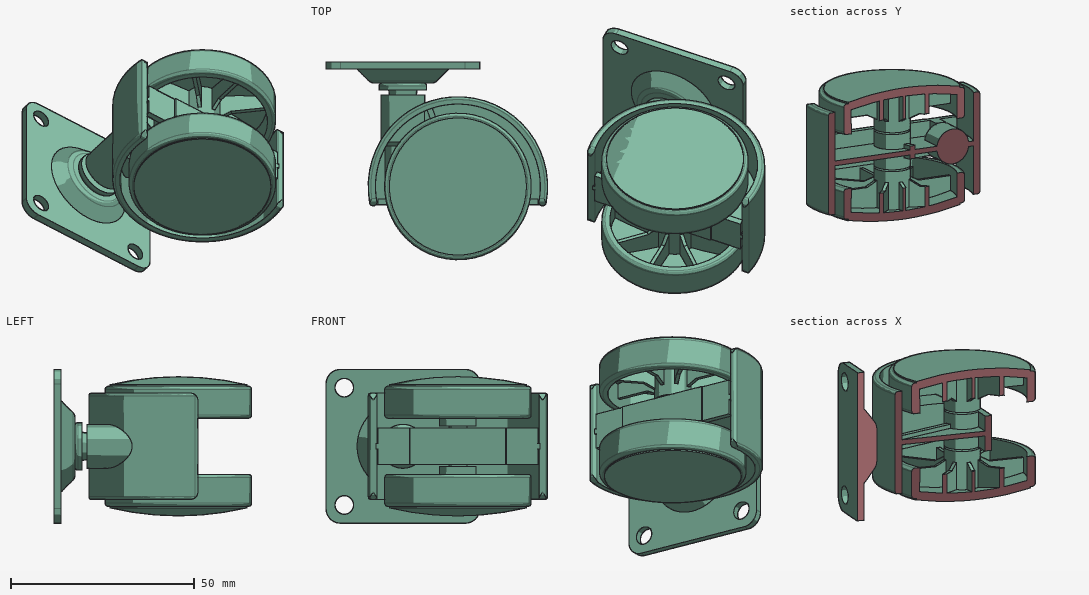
import cadquery as cq
import math


plate_size = 42.0
plate_thickness = 2.0
plate_corner_radius = 4.0
plate_top_y = 34.0
plate_bottom_y = plate_top_y - plate_thickness
screw_hole_diameter = 5.0
screw_hole_spacing = 32.0
cup_base_radius = 12.5
cup_depth = 3.8
cup_end_radius = cup_base_radius - cup_depth
cup_edge_radius = 2.0
cup_end_y = plate_bottom_y - cup_depth

stem_x = -15.0
collar_radius = 6.5
collar_height = 1.9
collar_round = 0.75
neck_radius = 3.9
shank_radius = 3.7
collar_bottom_y = cup_end_y - collar_height

shroud_radius = 24.5
shroud_thickness = 2.0
shroud_inner_radius = shroud_radius - shroud_thickness
shroud_width = 29.0
shroud_end_y = -5.3
shroud_corner_radius = 2.0
shroud_edge_radius = 0.75
socket_radius = 6.0
socket_top_y = 25.0
socket_step_y = 12.1
socket_step_height = 1.0
socket_lower_radius = 5.0
socket_end_y = 0.0
web_width = 10.0
membrane_thickness = 1.5
front_wall_y = -5.0
front_wall_thickness = 1.65
front_wall_half_length = 21.8
front_pad_half_length = 13.2
front_pad_height = 0.35
front_pad_slope = 0.2
axle_boss_radius = 5.0
rib_thickness = 1.5
rib_height = 3.8
rib_angle = 110.0
socket_rib_thickness = 3.0

wheel_radius = 20.0
wheel_edge_radius = 0.9
wheel_inner_z = 7.65
wheel_shoulder_z = 16.4
wheel_top_z = 19.0
dome_radius = 18.7
dome_base_z = 16.8
dome_height = wheel_top_z - dome_base_z
dome_sphere_radius = (dome_radius**2 + dome_height**2) / (2 * dome_height)
sphere_center_z = wheel_top_z - dome_sphere_radius
rim_inner_radius = 17.75
rim_middle_radius = (rim_inner_radius + wheel_radius) / 2
wheel_skin_thickness = 2.5
wheel_hub_radius = 5.0
wheel_hub_end_z = 5.5
spoke_count = 8
spoke_thickness = 1.0
spoke_drop = 2.6
spoke_ramp_length = 3.0
spoke_ramp_height = 1.6
axle_radius = 2.5
axle_end_z = 14.5


def cylinder_y(radius, y_low, y_high):
    """Cylinder on the stem axis between two heights."""
    return (
        cq.Workplane("XZ", origin=(stem_x, y_low, 0))
        .circle(radius)
        .extrude(y_low - y_high)
    )


def revolve_about_stem(profile):
    return profile.revolve(360, (stem_x, 0, 0), (stem_x, 1, 0))


def make_plate():
    plate = (
        cq.Workplane("XZ", origin=(stem_x, plate_top_y, 0))
        .rect(plate_size, plate_size)
        .extrude(plate_thickness)
        .edges("|Y")
        .fillet(plate_corner_radius)
    )
    cup = revolve_about_stem(
        cq.Workplane("XY")
        .moveTo(stem_x, plate_bottom_y)
        .lineTo(stem_x + cup_base_radius, plate_bottom_y)
        .lineTo(stem_x + cup_end_radius, cup_end_y)
        .lineTo(stem_x, cup_end_y)
        .close()
    )
    cup = cup.faces("<Y").edges().fillet(cup_edge_radius)
    holes = (
        cq.Workplane("XZ", origin=(stem_x, plate_top_y, 0))
        .rect(screw_hole_spacing, screw_hole_spacing, forConstruction=True)
        .vertices()
        .circle(screw_hole_diameter / 2)
        .extrude(plate_thickness)
    )
    return plate.union(cup).cut(holes)


def make_stem():
    collar = cylinder_y(collar_radius, collar_bottom_y, cup_end_y)
    collar = collar.faces(">Y").edges().fillet(collar_round)
    neck = revolve_about_stem(
        cq.Workplane("XY")
        .moveTo(stem_x, collar_bottom_y)
        .lineTo(stem_x + neck_radius, collar_bottom_y)
        .lineTo(stem_x + shank_radius, socket_top_y)
        .lineTo(stem_x, socket_top_y)
        .close()
    )
    shank = cylinder_y(shank_radius, socket_step_y, socket_top_y)
    return collar.union(neck).union(shank)


def polar_point(radius, angle):
    return (radius * math.cos(angle), radius * math.sin(angle))


def make_shroud():
    """Arched fender with full-round tips, eased outer rims and rounded corners."""
    tip_radius = shroud_thickness / 2
    middle_radius = shroud_radius - tip_radius
    tip_angle = math.asin((shroud_end_y + tip_radius) / middle_radius)
    tip_point_x = middle_radius * math.cos(tip_angle) + tip_radius * math.sin(tip_angle)
    tip_point_y = middle_radius * math.sin(tip_angle) - tip_radius * math.cos(tip_angle)
    outline = (
        cq.Workplane("XY", origin=(0, 0, -shroud_width / 2))
        .moveTo(*polar_point(shroud_radius, tip_angle))
        .threePointArc((0, shroud_radius), polar_point(shroud_radius, math.pi - tip_angle))
        .threePointArc(
            (-tip_point_x, tip_point_y), polar_point(shroud_inner_radius, math.pi - tip_angle)
        )
        .threePointArc((0, shroud_inner_radius), polar_point(shroud_inner_radius, tip_angle))
        .threePointArc((tip_point_x, tip_point_y), polar_point(shroud_radius, tip_angle))
        .close()
    )
    fender = outline.extrude(shroud_width)
    side_outline = (
        cq.Workplane("XY")
        .box(2 * shroud_radius, shroud_radius - shroud_end_y, shroud_width)
        .translate((0, (shroud_radius + shroud_end_y) / 2, 0))
        .edges("|X and <Y")
        .fillet(shroud_corner_radius)
    )
    eased_drum = (
        cq.Workplane("XY", origin=(0, 0, -shroud_width / 2))
        .circle(shroud_radius)
        .extrude(shroud_width)
        .edges()
        .fillet(shroud_edge_radius)
    )
    return fender.intersect(side_outline).intersect(eased_drum)


def block_between(x_low, x_high, y_low, y_high, height):
    """Rectangular block centred on the wheel mid-plane."""
    return (
        cq.Workplane("XY")
        .box(x_high - x_low, y_high - y_low, height)
        .translate(((x_low + x_high) / 2, (y_low + y_high) / 2, 0))
    )


def cylinder_z(radius, z_low, z_high):
    return cq.Workplane("XY", origin=(0, 0, z_low)).circle(radius).extrude(z_high - z_low)


def make_web():
    """Thin membrane inside the shroud, stiffened by a front wall, ribs and an axle boss."""
    wall_back_y = front_wall_y + front_wall_thickness
    membrane_radius = (shroud_radius + shroud_inner_radius) / 2
    membrane = cylinder_z(membrane_radius, -membrane_thickness / 2, membrane_thickness / 2)
    membrane = membrane.intersect(
        block_between(-shroud_radius, shroud_radius, front_wall_y, shroud_radius, web_width)
    )
    front_wall = block_between(
        -front_wall_half_length, front_wall_half_length, front_wall_y, wall_back_y, web_width
    )
    pad_end = front_pad_half_length - front_pad_slope
    pad_y = front_wall_y - front_pad_height
    front_pad = (
        cq.Workplane("XY", origin=(0, 0, -web_width / 2))
        .polyline(
            [
                (-front_pad_half_length, front_wall_y),
                (-pad_end, pad_y),
                (pad_end, pad_y),
                (front_pad_half_length, front_wall_y),
            ]
        )
        .close()
        .extrude(web_width)
    )
    boss = cylinder_z(axle_boss_radius, -web_width / 2, web_width / 2)
    radial_rib = block_between(
        0, membrane_radius, -rib_thickness / 2, rib_thickness / 2, rib_height
    ).rotate((0, 0, 0), (0, 0, 1), rib_angle)
    socket_rib = block_between(
        stem_x - socket_rib_thickness / 2,
        stem_x + socket_rib_thickness / 2,
        wall_back_y,
        socket_end_y,
        web_width,
    )
    web = membrane.union(front_wall).union(front_pad)
    return web.union(boss).union(radial_rib).union(socket_rib)


def make_socket():
    """Stem socket that steps down, through a short cone, to a slimmer lower part."""
    cone_end_y = socket_step_y - socket_step_height
    return revolve_about_stem(
        cq.Workplane("XY")
        .moveTo(stem_x, socket_top_y)
        .lineTo(stem_x + socket_radius, socket_top_y)
        .lineTo(stem_x + socket_radius, socket_step_y)
        .lineTo(stem_x + socket_lower_radius, cone_end_y)
        .lineTo(stem_x + socket_lower_radius, socket_end_y)
        .lineTo(stem_x, socket_end_y)
        .close()
    )


def make_housing():
    housing = make_shroud().union(make_web()).union(make_socket())
    stem_bore = cylinder_y(shank_radius, socket_step_y, socket_top_y)
    axle_bore = cylinder_z(axle_radius, -web_width / 2, web_width / 2)
    return housing.cut(stem_bore).cut(axle_bore)


def make_axle():
    return cylinder_z(axle_radius, -axle_end_z, axle_end_z)


def domed_cylinder(radius, z_low, sphere_radius):
    """Cylinder closed at its top by a cap of a sphere that is concentric with the wheel dome."""
    height = sphere_center_z + sphere_radius - z_low
    sphere = cq.Workplane("XY").sphere(sphere_radius).translate((0, 0, sphere_center_z))
    return cylinder_z(radius, z_low, z_low + height).intersect(sphere)


def make_wheel_shell():
    """Cup that is open toward the housing and closed by a dome on a low step."""
    drum = cylinder_z(wheel_radius, wheel_inner_z, wheel_shoulder_z)
    drum = drum.edges().fillet(wheel_edge_radius)
    dome = domed_cylinder(dome_radius, wheel_inner_z, dome_sphere_radius)
    cavity = domed_cylinder(
        rim_inner_radius, wheel_inner_z, dome_sphere_radius - wheel_skin_thickness
    )
    return drum.union(dome).cut(cavity)


def make_spoke(angle):
    """Spoke from the hub to the rim, with a ramp that rises toward the hub."""
    spoke_z = wheel_inner_z + spoke_drop
    hub_side_z = spoke_z - spoke_ramp_height
    ramp_end = wheel_hub_radius + spoke_ramp_length
    spoke = (
        cq.Workplane("XZ", origin=(0, spoke_thickness / 2, 0))
        .polyline(
            [
                (0, wheel_shoulder_z),
                (0, hub_side_z),
                (wheel_hub_radius, hub_side_z),
                (ramp_end, spoke_z),
                (rim_middle_radius, spoke_z),
                (rim_middle_radius, wheel_shoulder_z),
            ]
        )
        .close()
        .extrude(spoke_thickness)
    )
    return spoke.rotate((0, 0, 0), (0, 0, 1), angle)


def make_wheel():
    wheel = make_wheel_shell()
    wheel = wheel.union(cylinder_z(wheel_hub_radius, wheel_hub_end_z, dome_base_z))
    for number in range(spoke_count):
        wheel = wheel.union(make_spoke(number * 360 / spoke_count))
    return wheel.cut(cylinder_z(axle_radius, wheel_hub_end_z, axle_end_z))


plate = make_plate()
stem = make_stem()
housing = make_housing()
axle = make_axle()
upper_wheel = make_wheel()
lower_wheel = upper_wheel.mirror("XY")

bodies = [plate, stem, housing, axle, upper_wheel, lower_wheel]

result = cq.Compound.makeCompound([body.val() for body in bodies])